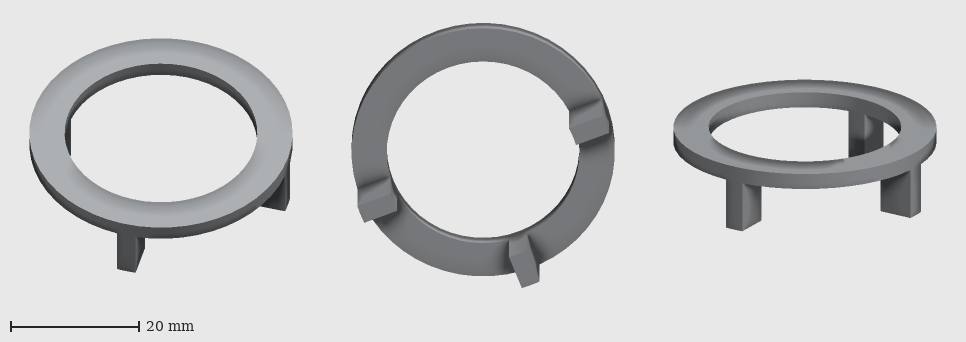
import cadquery as cq

outer_diameter = 41.0
inner_diameter = 30.0
total_height = 10.5
ring_thickness = 2.5
leg_width = 3.0

leg_height = total_height - ring_thickness
outer_radius = outer_diameter / 2
inner_radius = inner_diameter / 2

leg_angles = (0, 180, 270)


def annulus(bottom, height):
    """Flat ring with the part's outer and inner diameters."""
    return (
        cq.Workplane("XY", origin=(0, 0, bottom))
        .circle(outer_radius)
        .circle(inner_radius)
        .extrude(height)
    )


def leg(angle):
    """Radial leg, its inner and outer faces following the ring's curves."""
    radial_bar = (
        cq.Workplane("XY")
        .rect(outer_radius, leg_width)
        .extrude(leg_height)
        .translate((outer_radius / 2, 0, 0))
        .rotate((0, 0, 0), (0, 0, 1), angle)
    )
    return annulus(0, leg_height).intersect(radial_bar)


result = annulus(leg_height, ring_thickness)
for leg_angle in leg_angles:
    result = result.union(leg(leg_angle))